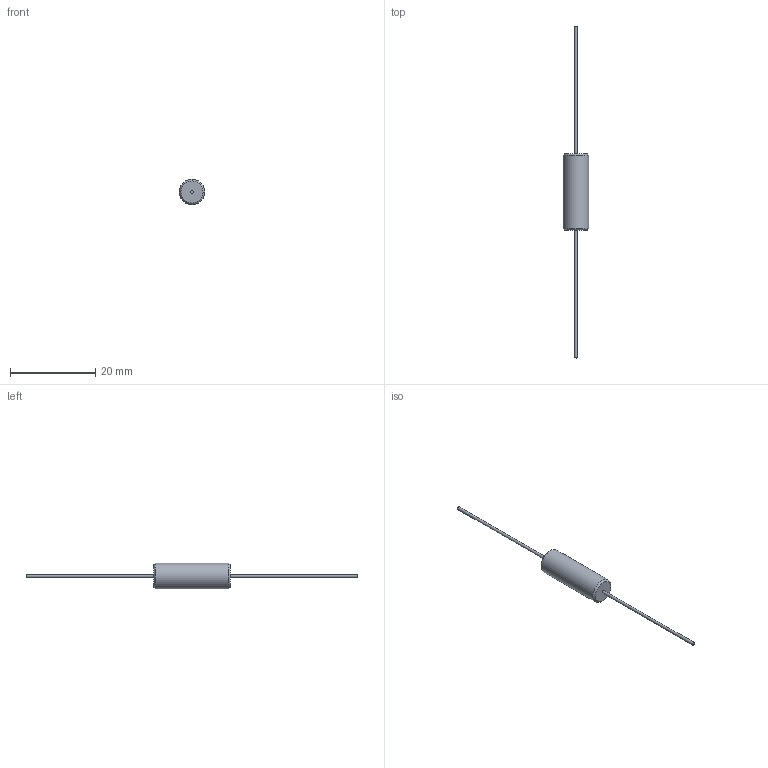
import cadquery as cq

body_diameter = 6.0
body_length = 18.0
rim_chamfer = 0.4
lead_diameter = 0.7
lead_length = 30.0

overall_length = body_length + 2 * lead_length


def cylinder_along_y(diameter, length):
    """Cylinder on the Y axis, centred on the origin."""
    return cq.Workplane("XZ", origin=(0, length / 2, 0)).circle(diameter / 2).extrude(length)


body = cylinder_along_y(body_diameter, body_length).faces("<Y or >Y").edges().chamfer(rim_chamfer)

leads = cylinder_along_y(lead_diameter, overall_length)

result = body.union(leads)